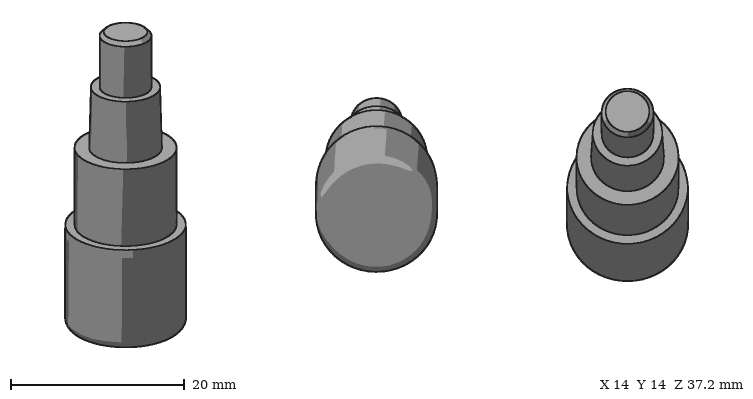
import cadquery as cq

total_height = 37.2
taper_top = 30.2
sleeve_top = 22.5
collar_top = 12.72
lead_in_height = 1.0

collar_diameter = 14.0
lead_in_diameter = 13.88
sleeve_diameter = 11.75
taper_base_diameter = 8.4
taper_top_diameter = 8.0
tip_diameter = 6.0

base_fillet = 1.0
tip_chamfer = 0.5


def make_housing():
    """Collar with a slightly tapered lead-in at its top and a narrower sleeve above."""
    lead_in_start = collar_top - lead_in_height
    collar = cq.Workplane("XY").circle(collar_diameter / 2).extrude(lead_in_start)
    collar = collar.faces("<Z").edges().fillet(base_fillet)
    lead_in = cq.Workplane("XY").add(
        cq.Solid.makeCone(
            collar_diameter / 2,
            lead_in_diameter / 2,
            lead_in_height,
            pnt=cq.Vector(0, 0, lead_in_start),
        )
    )
    sleeve = (
        cq.Workplane("XY", origin=(0, 0, collar_top))
        .circle(sleeve_diameter / 2)
        .extrude(sleeve_top - collar_top)
    )
    return collar.union(lead_in).union(sleeve)


def make_pin():
    """Tapered shank standing on the sleeve, with a chamfered cylindrical tip."""
    shank = cq.Workplane("XY").add(
        cq.Solid.makeCone(
            taper_base_diameter / 2,
            taper_top_diameter / 2,
            taper_top - sleeve_top,
            pnt=cq.Vector(0, 0, sleeve_top),
        )
    )
    tip = (
        cq.Workplane("XY", origin=(0, 0, taper_top))
        .circle(tip_diameter / 2)
        .extrude(total_height - taper_top)
        .faces(">Z")
        .edges()
        .chamfer(tip_chamfer)
    )
    return shank.union(tip)


housing = make_housing()
pin = make_pin()

result = cq.Compound.makeCompound([housing.solids().val(), pin.solids().val()])